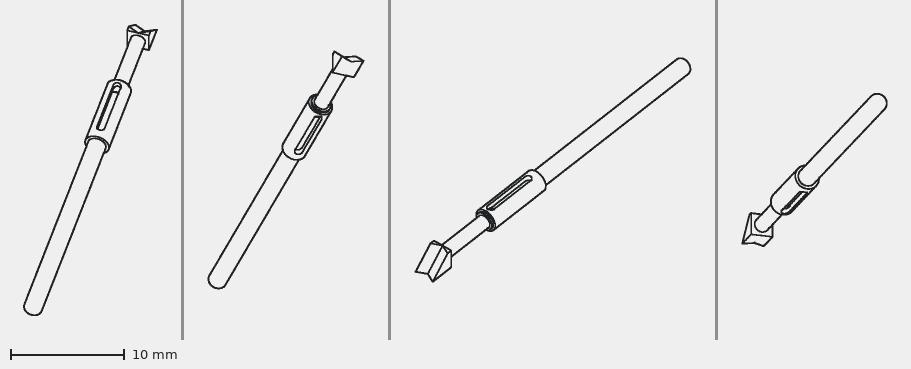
import cadquery as cq

overall_length = 35.1

head_side = 2.0
head_length = 2.5
head_flat = head_length - head_side

shaft_diameter = 1.35
collar_diameter = 1.8
collar_length = 0.2
sleeve_diameter = 2.2
sleeve_length = 6.8
tail_diameter = 1.65
tail_length = 20.0
tail_end_radius = 0.4

slot_width = 0.7
slot_length = 5.7
slot_end_gap = 0.3
core_diameter = 1.2
shaft_reach = 0.7

sleeve_front = tail_length + sleeve_length
collar_front = sleeve_front + collar_length
head_back = overall_length - head_length
slot_front = sleeve_front - slot_end_gap
slot_middle = slot_front - slot_length / 2
shaft_end = slot_front - shaft_reach


def cylinder_along_y(diameter, start, end):
    """Round bar on the Y axis between two stations."""
    plane = cq.Workplane(cq.Plane((0, start, 0), (1, 0, 0), (0, 1, 0)))
    return plane.circle(diameter / 2).extrude(end - start)


def make_head():
    """Square block, its front sloped at 45 degrees and grooved by a V that follows the slope."""
    half = head_side / 2
    side_outline = [
        (head_back, -half),
        (overall_length, -half),
        (head_back + head_flat, half),
        (head_back, half),
    ]
    block = cq.Workplane("YZ").polyline(side_outline).close().extrude(half, both=True)

    groove_outline = [
        (-half, overall_length),
        (0, overall_length - head_flat),
        (half, overall_length),
    ]
    groove_path = cq.Workplane("YZ").moveTo(overall_length, -half).lineTo(head_back + head_flat, half)
    groove = cq.Workplane("XY", origin=(0, 0, -half)).polyline(groove_outline).close().sweep(groove_path)
    return block.cut(groove)


def make_slots():
    """Rounded slot through the sleeve along Z, clear of the plunger that runs inside it."""
    slot = (
        cq.Workplane("XY")
        .center(0, slot_middle)
        .slot2D(slot_length, slot_width, 90)
        .extrude(sleeve_diameter, both=True)
    )
    shaft_inside = cylinder_along_y(shaft_diameter, shaft_end, sleeve_front)
    core = cylinder_along_y(core_diameter, tail_length, sleeve_front)
    return slot.cut(shaft_inside).cut(core)


tail = cylinder_along_y(tail_diameter, 0, tail_length).faces("<Y").edges().fillet(tail_end_radius)
sleeve = cylinder_along_y(sleeve_diameter, tail_length, sleeve_front).cut(make_slots())
collar = cylinder_along_y(collar_diameter, sleeve_front, collar_front)
shaft = cylinder_along_y(shaft_diameter, collar_front, head_back)

result = tail.union(sleeve).union(collar).union(shaft).union(make_head())